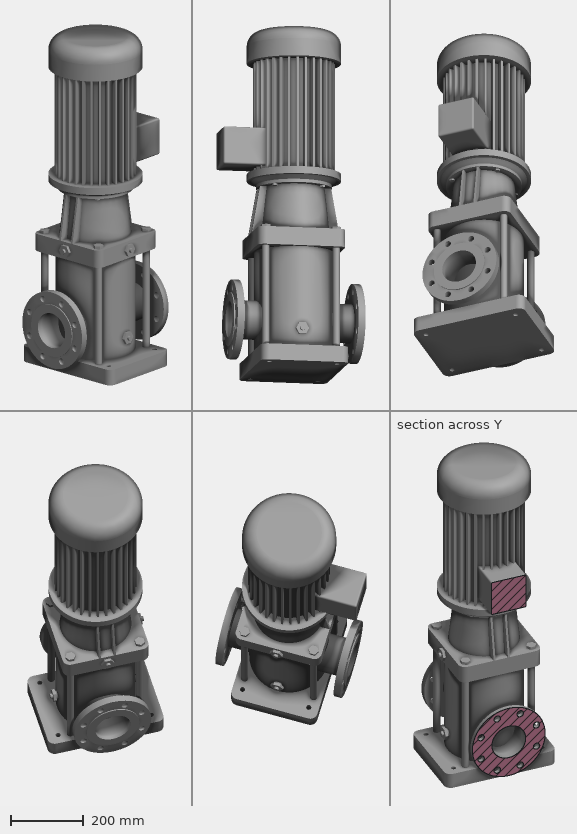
import cadquery as cq
import math


BASE_LENGTH = 330
BASE_WIDTH = 246
BASE_HEIGHT = 45
CORNER_RADIUS = 20
FOOT_HOLE_DIAMETER = 14
FOOT_HOLE_SPACING_X = 266
FOOT_HOLE_SPACING_Y = 190

SLEEVE_DIAMETER = 220
PLATE_LENGTH = 244
PLATE_WIDTH = BASE_WIDTH
PLATE_BOTTOM = 332
PLATE_TOP = 382
ROD_DIAMETER = 20
ROD_OFFSET = 99
ROD_HEAD_FLATS = 25
ROD_HEAD_HEIGHT = 8

PORT_HEIGHT = 140
PORT_SPAN = 365
PORT_BORE = 100
PIPE_DIAMETER = 108
FLANGE_DIAMETER = 220
FLANGE_THICKNESS = 20
RAISED_FACE_DIAMETER = 150
RAISED_FACE_HEIGHT = 3
FLANGE_HOLE_COUNT = 8
FLANGE_HOLE_DIAMETER = 18
FLANGE_HOLE_CIRCLE = 180

PLUG_FLATS = 32
PLUG_TIP_DIAMETER = 14
PLUG_NECK_DIAMETER = 24
PLUG_HEAD_THICKNESS = 8
PLUG_TIP_LENGTH = 6.5
DRAIN_HEIGHT = 100
DRAIN_NECK_LENGTH = 5
VENT_HEIGHT = (PLATE_BOTTOM + PLATE_TOP) / 2

STOOL_BOTTOM_RADIUS = 99
STOOL_TOP_RADIUS = 85
STOOL_TOP = 512
RIB_THICKNESS = 6
RIB_OFFSET = 21.5
RIB_BOTTOM_REACH = PLATE_WIDTH / 2
RIB_TOP_REACH = 100

SPIGOT_DIAMETER = 210
SPIGOT_TOP = 521
FLANGE_CONE_RADIUS = 119
MOTOR_FLANGE_BOTTOM = 532
MOTOR_FLANGE_TOP = 552
MOTOR_DIAMETER = 260
MOUNT_BOLT_COUNT = 4
MOUNT_BOLT_START_ANGLE = 45
MOUNT_BOLT_CIRCLE = 190
MOUNT_BOLT_FLATS = 13
MOUNT_BOLT_HEIGHT = 5

FIN_COUNT = 30
FIN_THICKNESS = 6
FIN_DIAMETER = 226
MOTOR_CORE_DIAMETER = 186
COVER_BOTTOM = 862
TOTAL_HEIGHT = 951
COVER_ROUNDING = 40

BOX_WIDTH = 106
BOX_BOTTOM = 566
BOX_TOP = 671
BOX_REACH = 208
BOX_ROUNDING = 5


def cylinder(diameter, bottom, top):
    """Upright cylinder on the shaft axis."""
    return cq.Workplane("XY").workplane(offset=bottom).circle(diameter / 2).extrude(top - bottom)


def rounded_plate(length, width, bottom, top):
    """Rectangular plate with rounded vertical corners."""
    plate = cq.Workplane("XY").workplane(offset=bottom).rect(length, width).extrude(top - bottom)
    return plate.edges("|Z").fillet(CORNER_RADIUS)


def hexagon_corners(flats):
    """Diameter across the corners of a hexagon given across its flats."""
    return flats / math.cos(math.pi / 6)


def make_base():
    base = rounded_plate(BASE_LENGTH, BASE_WIDTH, 0, BASE_HEIGHT)
    foot_holes = (
        cq.Workplane("XY")
        .rect(FOOT_HOLE_SPACING_X, FOOT_HOLE_SPACING_Y, forConstruction=True)
        .vertices()
        .circle(FOOT_HOLE_DIAMETER / 2)
        .extrude(BASE_HEIGHT)
    )
    return base.cut(foot_holes)


def make_tie_rods():
    """Four corner rods with hexagon heads; heads on the two X sides are turned by 90 degrees."""
    rods = cq.Workplane()
    for x_side, head_turn in ((-1, 0), (1, 90)):
        for y_side in (-1, 1):
            rod = cylinder(ROD_DIAMETER, BASE_HEIGHT, PLATE_TOP)
            head = (
                cq.Workplane("XY")
                .workplane(offset=PLATE_TOP)
                .polygon(6, hexagon_corners(ROD_HEAD_FLATS))
                .extrude(ROD_HEAD_HEIGHT)
                .rotate((0, 0, 0), (0, 0, 1), head_turn)
            )
            rods = rods.add(rod.union(head).translate((x_side * ROD_OFFSET, y_side * ROD_OFFSET, 0)))
    return rods.combine()


def port_disc(diameter, near, far):
    """Cylinder on the port axis between two distances from the shaft, towards -Y."""
    plane = cq.Workplane("XZ", origin=(0, -near, PORT_HEIGHT))
    return plane.circle(diameter / 2).extrude(far - near)


def make_port():
    """Port on the -Y side: pipe, drilled flange and raised face, with a bore down to the sleeve."""
    face = PORT_SPAN / 2
    flange_front = face - RAISED_FACE_HEIGHT
    port = port_disc(PIPE_DIAMETER, 0, flange_front)
    port = port.union(port_disc(FLANGE_DIAMETER, flange_front - FLANGE_THICKNESS, flange_front))
    port = port.union(port_disc(RAISED_FACE_DIAMETER, flange_front, face))
    hole_step = 360 / FLANGE_HOLE_COUNT
    holes = (
        cq.Workplane("XZ", origin=(0, -(flange_front - FLANGE_THICKNESS), PORT_HEIGHT))
        .polarArray(FLANGE_HOLE_CIRCLE / 2, hole_step / 2, 360, FLANGE_HOLE_COUNT)
        .circle(FLANGE_HOLE_DIAMETER / 2)
        .extrude(FLANGE_THICKNESS)
    )
    return port.cut(port_disc(PORT_BORE, 0, face)).cut(holes)


def make_plug(neck_length):
    """Hexagonal plug along +X with its seat at x = 0 and a neck sunk below the seat."""
    neck_root = -PLUG_NECK_DIAMETER / 2
    neck = (
        cq.Workplane("YZ", origin=(neck_root, 0, 0))
        .circle(PLUG_NECK_DIAMETER / 2)
        .extrude(neck_length - neck_root)
    )
    head = (
        cq.Workplane("YZ", origin=(neck_length, 0, 0))
        .polygon(6, hexagon_corners(PLUG_FLATS))
        .extrude(PLUG_HEAD_THICKNESS)
    )
    tip = (
        cq.Workplane("YZ", origin=(neck_length + PLUG_HEAD_THICKNESS, 0, 0))
        .circle(PLUG_TIP_DIAMETER / 2)
        .extrude(PLUG_TIP_LENGTH)
    )
    return neck.union(head).union(tip)


def make_plugs():
    """Drain plugs on both X sides of the sleeve, vent plugs on the +X and -Y plate faces."""
    drain = make_plug(DRAIN_NECK_LENGTH).translate((SLEEVE_DIAMETER / 2, 0, DRAIN_HEIGHT))
    vent = make_plug(0)
    side_vent = vent.translate((PLATE_LENGTH / 2, 0, VENT_HEIGHT))
    front_vent = vent.rotate((0, 0, 0), (0, 0, 1), -90).translate((0, -PLATE_WIDTH / 2, VENT_HEIGHT))
    return drain.union(drain.mirror("YZ")).union(side_vent).union(front_vent)


def make_stool():
    """Conical stool with a pair of tapered ribs on the front and the back."""
    stool = (
        cq.Workplane("XZ")
        .polyline([
            (0, PLATE_TOP),
            (STOOL_BOTTOM_RADIUS, PLATE_TOP),
            (STOOL_TOP_RADIUS, STOOL_TOP),
            (0, STOOL_TOP),
        ])
        .close()
        .revolve(360, (0, 0, 0), (0, 1, 0))
    )
    for x_center in (-RIB_OFFSET, RIB_OFFSET):
        rib = (
            cq.Workplane("YZ", origin=(x_center, 0, 0))
            .polyline([
                (-RIB_BOTTOM_REACH, PLATE_TOP),
                (RIB_BOTTOM_REACH, PLATE_TOP),
                (RIB_TOP_REACH, STOOL_TOP),
                (-RIB_TOP_REACH, STOOL_TOP),
            ])
            .close()
            .extrude(RIB_THICKNESS / 2, both=True)
        )
        stool = stool.union(rib)
    return stool


def make_motor_flange():
    flange = (
        cq.Workplane("XZ")
        .polyline([
            (0, STOOL_TOP),
            (SPIGOT_DIAMETER / 2, STOOL_TOP),
            (SPIGOT_DIAMETER / 2, SPIGOT_TOP),
            (FLANGE_CONE_RADIUS, MOTOR_FLANGE_BOTTOM),
            (MOTOR_DIAMETER / 2, MOTOR_FLANGE_BOTTOM),
            (MOTOR_DIAMETER / 2, MOTOR_FLANGE_TOP),
            (0, MOTOR_FLANGE_TOP),
        ])
        .close()
        .revolve(360, (0, 0, 0), (0, 1, 0))
    )
    mount_bolts = (
        cq.Workplane("XY")
        .workplane(offset=STOOL_TOP - MOUNT_BOLT_HEIGHT)
        .polarArray(MOUNT_BOLT_CIRCLE / 2, MOUNT_BOLT_START_ANGLE, 360, MOUNT_BOLT_COUNT)
        .polygon(6, hexagon_corners(MOUNT_BOLT_FLATS))
        .extrude(MOUNT_BOLT_HEIGHT)
    )
    return flange.union(mount_bolts)


def polar_point(radius, angle):
    """Point in the XY plane at an angle in radians from +X."""
    return (radius * math.cos(angle), radius * math.sin(angle))


def make_motor_body():
    """Motor core with straight parallel-sided cooling fins; one fin points to -Y."""
    tip_radius = FIN_DIAMETER / 2
    root_radius = MOTOR_CORE_DIAMETER / 2
    tip_half_angle = math.asin(FIN_THICKNESS / 2 / tip_radius)
    root_half_angle = math.asin(FIN_THICKNESS / 2 / root_radius)
    pitch = 2 * math.pi / FIN_COUNT
    first_fin = -math.pi / 2

    outline = (
        cq.Workplane("XY")
        .workplane(offset=MOTOR_FLANGE_TOP)
        .moveTo(*polar_point(root_radius, first_fin - root_half_angle))
    )
    for index in range(FIN_COUNT):
        fin = first_fin + index * pitch
        valley_middle = polar_point(root_radius, fin + pitch / 2)
        valley_end = polar_point(root_radius, fin + pitch - root_half_angle)
        outline = (
            outline.lineTo(*polar_point(tip_radius, fin - tip_half_angle))
            .threePointArc(polar_point(tip_radius, fin), polar_point(tip_radius, fin + tip_half_angle))
            .lineTo(*polar_point(root_radius, fin + root_half_angle))
            .threePointArc(valley_middle, valley_end)
        )
    return outline.close().extrude(COVER_BOTTOM - MOTOR_FLANGE_TOP)


def make_fan_cover():
    return cylinder(MOTOR_DIAMETER, COVER_BOTTOM, TOTAL_HEIGHT).faces(">Z").edges().fillet(COVER_ROUNDING)


def make_terminal_box():
    """Box on the +Y side of the motor with rounded long edges and outer rim."""
    box = (
        cq.Workplane("XY")
        .box(BOX_WIDTH, BOX_REACH, BOX_TOP - BOX_BOTTOM, centered=(True, False, False))
        .translate((0, 0, BOX_BOTTOM))
    )
    return box.edges("|Y or >Y").fillet(BOX_ROUNDING)


def build_pump():
    port = make_port()
    pump = make_base()
    parts = [
        port,
        port.mirror("XZ"),
        cylinder(SLEEVE_DIAMETER, BASE_HEIGHT, PLATE_BOTTOM),
        rounded_plate(PLATE_LENGTH, PLATE_WIDTH, PLATE_BOTTOM, PLATE_TOP),
        make_tie_rods(),
        make_plugs(),
        make_stool(),
        make_motor_flange(),
        make_motor_body(),
        make_fan_cover(),
        make_terminal_box(),
    ]
    for part in parts:
        pump = pump.union(part, clean=False)
    return pump.clean()


result = build_pump()